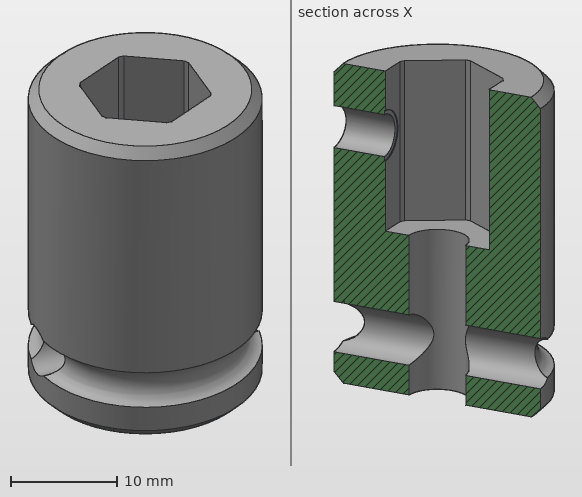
import cadquery as cq
import math

height = 32.0
body_radius = 11.0
chamfer = 1.0

groove_height = 5.5
groove_radius = 1.95
groove_depth = 1.6
pin_hole_diameter = 5.0

hex_across_flats = 11.0
hex_corner_diameter = 12.4
hex_depth = 16.0
bore_diameter = 6.0

side_hole_height = 25.5
side_hole_diameter = 4.15
spotface_diameter = 5.0
spotface_depth = 0.1


def make_body():
    """Chamfered cylinder."""
    return cq.Workplane("XY").circle(body_radius).extrude(height).faces("<Z or >Z").chamfer(chamfer)


def make_groove():
    """Ring of circular section, sunk groove_depth into the outer wall."""
    section_center = body_radius - groove_depth + groove_radius
    section = cq.Workplane("XZ").center(section_center, groove_height).circle(groove_radius)
    axis_start = (-section_center, 0)
    axis_end = (-section_center, 1)
    return section.revolve(360, axis_start, axis_end)


def make_socket():
    """Hexagonal prism trimmed at its corners by a cylinder."""
    floor = cq.Workplane("XY").workplane(offset=height - hex_depth)
    across_corners = hex_across_flats / math.cos(math.pi / 6)
    prism = floor.polygon(6, across_corners).extrude(hex_depth)
    corner_trim = floor.circle(hex_corner_diameter / 2).extrude(hex_depth)
    return prism.intersect(corner_trim)


def make_bore():
    return cq.Workplane("XY").circle(bore_diameter / 2).extrude(height)


def make_pin_hole():
    """Cross hole along Y through both walls."""
    profile = cq.Workplane("XZ").center(0, groove_height).circle(pin_hole_diameter / 2)
    return profile.extrude(body_radius, both=True)


def make_side_hole():
    """Hole from the axis outward through the +Y wall only."""
    profile = cq.Workplane("XZ").center(0, side_hole_height).circle(side_hole_diameter / 2)
    return profile.extrude(-body_radius)


def make_spotface():
    """Shallow recess around the side hole, sunk into the +Y flat of the socket."""
    profile = cq.Workplane("XZ").center(0, side_hole_height).circle(spotface_diameter / 2)
    return profile.extrude(-(hex_across_flats / 2 + spotface_depth))


cutters = (
    make_groove(),
    make_socket(),
    make_bore(),
    make_pin_hole(),
    make_side_hole(),
    make_spotface(),
)
result = make_body()
for cutter in cutters:
    result = result.cut(cutter)